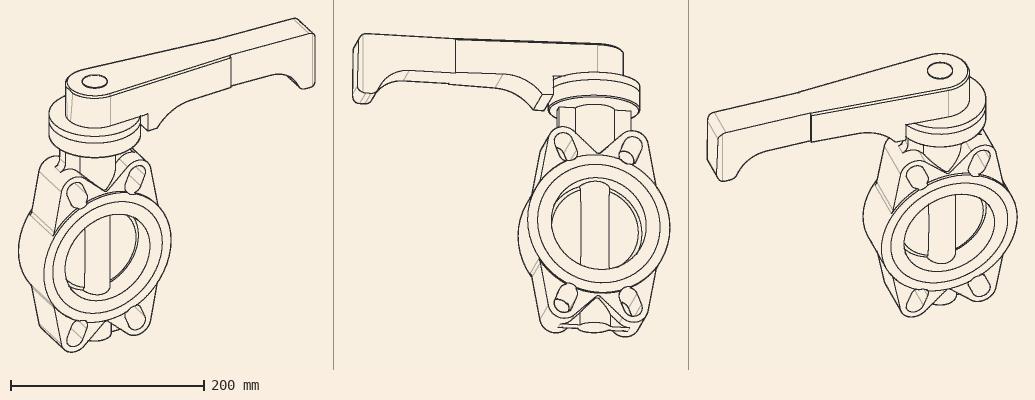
import cadquery as cq
import math


edge_reach = 2.5

ring_diameter = 150.0
ring_width = 55.5
liner_diameter = 129.0
bore_diameter = 100.0

lug_width = 49.3
lug_radius = 16.3
lug_side_draft = 10.4
valley_slope = 43.0
valley_fillet = 3.3
lug_foot_z = 26.0
lug_root_fillet = 11.5
lug_root_y = 61.5
lug_root_z = 42.8
lug_angle = 22.5
slot_width = 19.5
slot_inner_reach = 83.0
slot_outer_reach = 95.5
lug_y = slot_outer_reach * math.sin(math.radians(lug_angle))
lug_z = slot_outer_reach * math.cos(math.radians(lug_angle))
lug_tip_z = lug_z + lug_radius

neck_diameter = 43.0
boss_diameter = 34.3
web_thickness = 12.5
neck_web_width = 75.8
web_foot_fillet = 9.8

flange_diameter = 95.0
flange_bottom = 132.0
flange_rim_chamfer = 1.3
flange_split = 150.2
flange_top = 158.5

disc_center_thickness = 13.7
disc_edge_thickness = 5.2
disc_face_diameter = 91.5
disc_face_thickness = 10.5
stem_diameter = 32.0

handle_top = 196.0
hub_radius = 30.53
taper_end_y = 149.2
taper_end_half_width = 20.2
top_chamfer = 2.0
grip_width = 35.5
grip_end_y = 251.8
grip_end_lean = 1.3
grip_nose_radius = 8.0
grip_corner_radius = 5.2
toe_bottom = 131.0
toe_radius = 8.0
toe_curve_radius = 35.0
toe_curve_angle = 63.0
toe_curve_end_y = 197.5
finger_curve_radius = 50.5
finger_curve_end_y = 100.0
finger_bottom = 137.8
finger_end_y = 47.7
hub_flat_top_y = 29.7
hub_flat_bottom_y = 30.5
cap_diameter = 26.0
cap_height = 1.0


def x_cylinder(diameter, length):
    """Cylinder on the pipe axis, centred on the origin."""
    return cq.Workplane("YZ").workplane(offset=-length / 2).circle(diameter / 2).extrude(length)


def z_cylinder(diameter, bottom, top):
    """Cylinder on the stem axis between two heights."""
    return cq.Workplane("XY").workplane(offset=bottom).circle(diameter / 2).extrude(top - bottom)


def cross_edge(y, z):
    """Selector for the edges that run along X through the neighbourhood of (y, z)."""
    return cq.selectors.BoxSelector(
        (-flange_diameter, y - edge_reach, z - edge_reach),
        (flange_diameter, y + edge_reach, z + edge_reach),
    ) & cq.selectors.ParallelDirSelector(cq.Vector(1, 0, 0))


def lug_rim_point(angle):
    """Point (y, z) on the rounded tip of the lug on the +Y side."""
    a = math.radians(angle)
    return lug_y + lug_radius * math.cos(a), lug_z + lug_radius * math.sin(a)


def lug_pair():
    """Two lugs above the ring with a valley between them; their sides end inside the ring."""
    outer_y, outer_z = lug_rim_point(lug_side_draft)
    inner_y, inner_z = lug_rim_point(90 + valley_slope)
    foot_y = outer_y + (outer_z - lug_foot_z) * math.tan(math.radians(lug_side_draft))
    valley_z = inner_z - inner_y * math.tan(math.radians(valley_slope))
    outline = (
        cq.Workplane("YZ")
        .moveTo(0, 0)
        .lineTo(foot_y, lug_foot_z)
        .lineTo(outer_y, outer_z)
        .threePointArc((lug_y, lug_tip_z), (inner_y, inner_z))
        .lineTo(0, valley_z)
        .lineTo(-inner_y, inner_z)
        .threePointArc((-lug_y, lug_tip_z), (-outer_y, outer_z))
        .lineTo(-foot_y, lug_foot_z)
        .close()
    )
    lugs = outline.extrude(lug_width / 2, both=True)
    return lugs.edges(cross_edge(0, valley_z)).fillet(valley_fillet)


def lug_slot(angle):
    """Slot through a lug, pointing at the pipe axis in the given direction."""
    middle = (slot_inner_reach + slot_outer_reach) / 2
    length = slot_outer_reach - slot_inner_reach + slot_width
    return (
        cq.Workplane("YZ")
        .center(0, middle)
        .slot2D(length, slot_width, 90)
        .extrude(ring_width, both=True)
        .rotate((0, 0, 0), (1, 0, 0), angle)
    )


def web(width, bottom, top):
    """Thin plate across the stem axis, in the plane of the lugs."""
    plate = cq.Workplane("XY").box(web_thickness, width, top - bottom, centered=(True, True, False))
    return plate.translate((0, 0, bottom))


def neck_web_foot(side):
    """Concave fillet, tangent to the edge of the neck web and to the round tip of a lug."""
    edge_y = neck_web_width / 2
    center_y = edge_y + web_foot_fillet
    center_distance = lug_radius + web_foot_fillet
    center_z = lug_z + math.sqrt(center_distance**2 - (center_y - lug_y) ** 2)
    contact_y = lug_y + (center_y - lug_y) * lug_radius / center_distance
    contact_z = lug_z + (center_z - lug_z) * lug_radius / center_distance
    contact_angle = math.atan2(contact_z - center_z, contact_y - center_y) % (2 * math.pi)
    middle_angle = (math.pi + contact_angle) / 2
    middle_y = center_y + web_foot_fillet * math.cos(middle_angle)
    middle_z = center_z + web_foot_fillet * math.sin(middle_angle)
    return (
        cq.Workplane("YZ")
        .moveTo(side * edge_y, center_z)
        .threePointArc((side * middle_y, middle_z), (side * contact_y, contact_z))
        .lineTo(side * lug_y, lug_z)
        .lineTo(0, lug_z)
        .lineTo(0, center_z)
        .close()
        .extrude(web_thickness / 2, both=True)
    )


def make_housing():
    """Ring with four slotted lugs, neck, lower boss and the lower half of the round flange."""
    core = x_cylinder(ring_diameter, lug_width)
    upper_lugs = lug_pair()
    body = core.union(upper_lugs).union(upper_lugs.mirror("XY"))

    for side in (-1, 1):
        for end in (-1, 1):
            body = body.edges(cross_edge(side * lug_root_y, end * lug_root_z)).fillet(lug_root_fillet)

    body = body.union(x_cylinder(ring_diameter, ring_width)).clean()

    body = body.union(z_cylinder(neck_diameter, 0, flange_bottom))
    body = body.union(web(neck_web_width, 0, flange_bottom))
    body = body.union(z_cylinder(boss_diameter, -lug_tip_z, 0))
    body = body.union(web(2 * lug_y, -lug_tip_z, 0))
    for side in (-1, 1):
        body = body.union(neck_web_foot(side))

    flange = z_cylinder(flange_diameter, flange_bottom, flange_split)
    body = body.union(flange.faces("<Z").chamfer(flange_rim_chamfer))

    for angle in (lug_angle, -lug_angle, 180 - lug_angle, 180 + lug_angle):
        body = body.cut(lug_slot(angle))
    return body.cut(x_cylinder(liner_diameter, ring_width))


def make_liner():
    """Plain sleeve that lines the ring, flush with both of its faces."""
    return x_cylinder(liner_diameter, ring_width).cut(x_cylinder(bore_diameter, ring_width))


def make_disc():
    """Lens-shaped disc with the stem standing across it, ending on the bore."""
    center = disc_center_thickness / 2
    face = disc_face_thickness / 2
    edge = disc_edge_thickness / 2
    face_radius = disc_face_diameter / 2
    edge_radius = bore_diameter / 2
    lens = (
        cq.Workplane("XY")
        .moveTo(-center, 0)
        .lineTo(-face, face_radius)
        .lineTo(-edge, edge_radius)
        .lineTo(edge, edge_radius)
        .lineTo(face, face_radius)
        .lineTo(center, 0)
        .close()
        .revolve(360, (0, 0, 0), (1, 0, 0))
    )
    stem = z_cylinder(stem_diameter, -edge_radius, edge_radius)
    return lens.union(stem.intersect(x_cylinder(bore_diameter, ring_width)))


def handle_side_block():
    """Side outline of the handle as a block wide enough to be trimmed to its plan outlines."""
    toe_angle = math.radians(toe_curve_angle)
    toe_curve_center_z = flange_top - toe_curve_radius
    toe_curve_mid = (
        toe_curve_end_y + toe_curve_radius * math.sin(toe_angle / 2),
        toe_curve_center_z + toe_curve_radius * math.cos(toe_angle / 2),
    )
    toe_curve_foot = (
        toe_curve_end_y + toe_curve_radius * math.sin(toe_angle),
        toe_curve_center_z + toe_curve_radius * math.cos(toe_angle),
    )
    toe_tip_y = toe_curve_foot[0] + (toe_curve_foot[1] - toe_bottom) / math.tan(toe_angle)

    finger_angle = math.acos(1 - (flange_top - finger_bottom) / finger_curve_radius)
    finger_curve_center_z = flange_top - finger_curve_radius
    finger_curve_mid = (
        finger_curve_end_y - finger_curve_radius * math.sin(finger_angle / 2),
        finger_curve_center_z + finger_curve_radius * math.cos(finger_angle / 2),
    )
    finger_curve_foot = (finger_curve_end_y - finger_curve_radius * math.sin(finger_angle), finger_bottom)

    block = (
        cq.Workplane("YZ")
        .moveTo(-flange_diameter / 2, handle_top)
        .lineTo(grip_end_y - grip_end_lean, handle_top)
        .lineTo(grip_end_y, toe_bottom)
        .lineTo(toe_tip_y, toe_bottom)
        .lineTo(*toe_curve_foot)
        .threePointArc(toe_curve_mid, (toe_curve_end_y, flange_top))
        .lineTo(finger_curve_end_y, flange_top)
        .threePointArc(finger_curve_mid, finger_curve_foot)
        .lineTo(finger_end_y, finger_bottom)
        .lineTo(finger_end_y, flange_top)
        .lineTo(-flange_diameter / 2, flange_top)
        .close()
        .extrude(flange_diameter / 2, both=True)
    )
    block = block.edges(cross_edge(grip_end_y - grip_end_lean, handle_top)).fillet(grip_nose_radius)
    block = block.edges(cross_edge(grip_end_y, toe_bottom)).fillet(toe_radius)
    return block.edges(cross_edge(toe_tip_y, toe_bottom)).fillet(toe_radius)


def taper_block():
    """Plan outline around the stem axis, with straight sides tangent to the hub."""
    lean = math.atan((hub_radius - taper_end_half_width) / taper_end_y)
    tangent_x = hub_radius * math.cos(lean)
    tangent_y = hub_radius * math.sin(lean)
    return (
        cq.Workplane("XY")
        .workplane(offset=toe_bottom)
        .moveTo(taper_end_half_width, taper_end_y)
        .lineTo(tangent_x, tangent_y)
        .threePointArc((0, -hub_radius), (-tangent_x, tangent_y))
        .lineTo(-taper_end_half_width, taper_end_y)
        .close()
        .extrude(handle_top - toe_bottom)
    )


def hub_flat():
    """Wedge that cuts the slightly leaning flat on the -Y side of the hub."""
    return (
        cq.Workplane("YZ")
        .moveTo(-hub_flat_bottom_y, flange_top)
        .lineTo(-hub_flat_top_y, handle_top)
        .lineTo(-flange_diameter / 2, handle_top)
        .lineTo(-flange_diameter / 2, flange_top)
        .close()
        .extrude(hub_radius, both=True)
    )


def make_handle():
    """Lever with its hub, the upper half of the round flange and the cap on top."""
    side_block = handle_side_block()

    taper = taper_block().faces(">Z").edges("not >Y").chamfer(top_chamfer)
    taper = taper.cut(hub_flat()).intersect(side_block)

    grip_length = grip_end_y - taper_end_y
    grip_block = (
        cq.Workplane("XY")
        .box(grip_width, grip_length, handle_top - toe_bottom, centered=(True, False, False))
        .translate((0, taper_end_y, toe_bottom))
        .edges("|Z and >Y")
        .fillet(grip_corner_radius)
    )
    handle = taper.union(grip_block.intersect(side_block))

    handle = handle.union(z_cylinder(flange_diameter, flange_split, flange_top))
    return handle.union(z_cylinder(cap_diameter, flange_top, handle_top + cap_height))


housing = make_housing()
liner = make_liner()
disc = make_disc()
handle = make_handle()

result = cq.Compound.makeCompound([housing.val(), liner.val(), disc.val(), handle.val()])